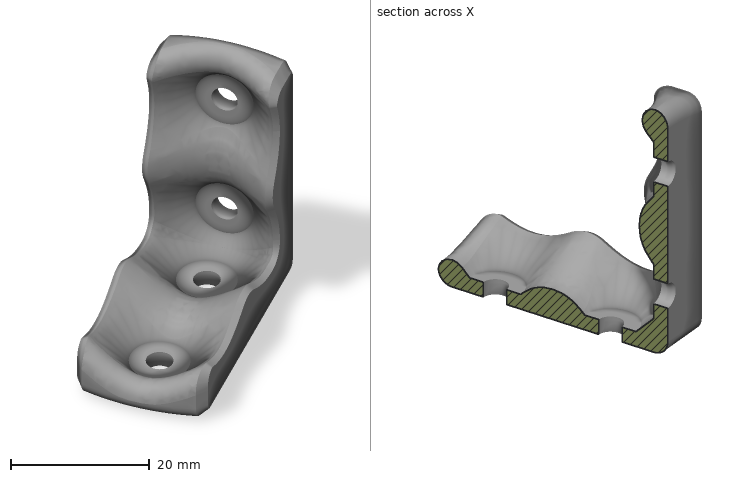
import cadquery as cq
import math

width = 20.0
leg_length = 39.93
end_bulge_radius = 36.0
hole_diameter = 4.0
hole_positions = (10.0, 30.0)
seat_diameter = 8.9
seat_height = 2.5
ridge_radius = 7.3
edge_radius = 2.45
corner_radius = 2.5
side_chamfer = 1.3

half_width = width / 2
seat_radius = seat_diameter / 2
end_sagitta = end_bulge_radius - math.sqrt(end_bulge_radius**2 - half_width**2)
ridge_position = sum(hole_positions) / len(hole_positions)
ridge_height = seat_height + ridge_position - min(hole_positions) - seat_radius
rim_height = seat_height + leg_length - max(hole_positions) - seat_radius
corner_height = (seat_height + min(hole_positions) - seat_radius) / 2


def leg_blank(bottom):
    """Tall block over the -Y leg whose free end bulges outwards in plan."""
    shoulder = leg_length - end_sagitta
    return (
        cq.Workplane("XY", origin=(0, 0, bottom))
        .moveTo(-half_width, 0)
        .lineTo(-half_width, -shoulder)
        .threePointArc((0, -leg_length), (half_width, -shoulder))
        .lineTo(half_width, 0)
        .close()
        .extrude(leg_length - bottom)
    )


def rounded_blank():
    """Leg blank with the bottom edge of its bulged end rounded."""
    end_edge = cq.NearestToPointSelector((0, -leg_length, 0))
    return leg_blank(0).faces("<Z").edges(end_edge).fillet(edge_radius)


def screw_seat(position):
    """Flat screw seat that opens upwards as a 45 degree cone."""
    top_height = seat_height + leg_length
    return (
        cq.Workplane("XZ")
        .moveTo(0, seat_height)
        .lineTo(seat_radius, seat_height)
        .lineTo(seat_radius + leg_length, top_height)
        .lineTo(0, top_height)
        .close()
        .revolve()
        .translate((0, -position, 0))
    )


def mitre_wedge():
    """The half of the bracket's envelope that belongs to the -Y leg."""
    return (
        cq.Workplane("YZ")
        .polyline([(0, 0), (-leg_length, 0), (-leg_length, leg_length)])
        .close()
        .extrude(half_width, both=True)
    )


def leg():
    """The -Y leg with scooped seats, a rounded ridge and a rounded free end."""
    shape = leg_blank(-leg_length)
    for position in hole_positions:
        shape = shape.cut(screw_seat(position))
    ridge_middle = (0, -ridge_position, ridge_height)
    shape = shape.edges(cq.NearestToPointSelector(ridge_middle)).fillet(ridge_radius)
    rim_middle = (0, -leg_length, rim_height)
    shape = shape.edges(cq.NearestToPointSelector(rim_middle)).fillet(edge_radius)
    return shape.intersect(rounded_blank()).intersect(mitre_wedge())


def on_upright_leg(shape):
    """Mirror a shape of the -Y leg across the 45 degree plane onto the +Z leg."""
    return shape.rotate((0, 0, 0), (1, 0, 0), 90).mirror("XY")


def join_legs():
    """Both legs as one solid, rounded inside and outside where they meet."""
    lower_leg = leg()
    joined = lower_leg.union(on_upright_leg(lower_leg))
    inner_corner = (0, -corner_height, corner_height)
    joined = joined.edges(cq.NearestToPointSelector(inner_corner)).fillet(corner_radius)
    return joined.edges(cq.NearestToPointSelector((0, 0, 0))).fillet(edge_radius)


def screw_hole(position):
    """Cylinder through the -Y leg at a screw seat."""
    return cq.Workplane("XY").center(0, -position).circle(hole_diameter / 2).extrude(seat_height)


bracket = join_legs()
bracket = bracket.faces("<X or >X").edges().chamfer(side_chamfer)
for hole_position in hole_positions:
    hole = screw_hole(hole_position)
    bracket = bracket.cut(hole).cut(on_upright_leg(hole))

result = bracket